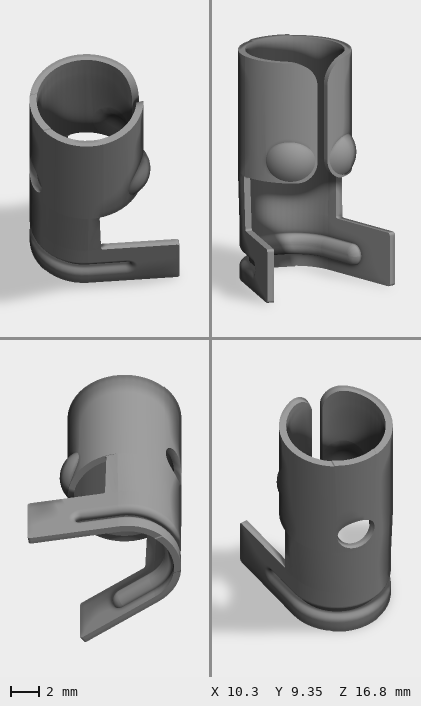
import cadquery as cq
import math

total_height = 16.76
tab_height = 0.07
wall = 0.5

barrel_radius = 4.0
barrel_bottom = 7.98
barrel_top = total_height - tab_height
gap_width = 0.79
gap_top_round = 1.8
gap_bottom_round = 1.51

clip_bottom = tab_height
clip_top = 3.95
clip_radius = 3.79
arm_angle = 13.0
arm_length = 6.47
arm_corner_round = 0.2

neck_back = 0.08
neck_trim_top = -0.28
neck_trim_bottom = -0.15
neck_corner_round = 0.17

bead_z = 1.71
groove_half_width = 0.34
groove_depth = 0.65
groove_lip_round = 0.45
bead_half_width = 0.77
bead_arm_length = 2.72

dimple_z = 9.54
dimple_angle = 34.0
dimple_radius = 2.01
dimple_peak = 4.61
dimple_blend = 2.51
hole_half_width = 1.4
hole_half_height = 1.3

top_tab_width = 3.25
bottom_tab_width = 3.45
tab_side_slope = 0.07

clearance = 0.34

clip_centre_y = clip_radius - barrel_radius
arm_sin = math.sin(math.radians(arm_angle))
arm_cos = math.cos(math.radians(arm_angle))


def clip_point(depth, along):
    """Point on the right arm: depth in from the outer face, distance along from the bend."""
    radius = clip_radius - depth
    x = radius * arm_cos + along * arm_sin
    y = clip_centre_y - radius * arm_sin + along * arm_cos
    return (x, y)


def flip(point):
    return (-point[0], point[1])


def band(plane, outer_end, outer_bend, inner_bend, inner_end, front):
    """Closed U outline, symmetric about X = 0, with straight ends beyond its bend."""
    return (
        plane.moveTo(*outer_end)
        .lineTo(*outer_bend)
        .threePointArc((0, front), flip(outer_bend))
        .lineTo(*flip(outer_end))
        .lineTo(*flip(inner_end))
        .lineTo(*flip(inner_bend))
        .threePointArc((0, front + wall), inner_bend)
        .lineTo(*inner_end)
        .close()
    )


def make_clip():
    outline = band(
        cq.Workplane("XY").workplane(offset=clip_bottom),
        clip_point(0, arm_length),
        clip_point(0, 0),
        clip_point(wall, 0),
        clip_point(wall, arm_length),
        -barrel_radius,
    )
    clip = outline.extrude(clip_top - clip_bottom)
    behind_bend = cq.selectors.BoxSelector(
        (-total_height, 0, 0), (total_height, total_height, total_height)
    )
    for side in (1, -1):
        square_to_arm = cq.selectors.ParallelDirSelector(cq.Vector(side * arm_cos, -arm_sin, 0))
        clip = clip.edges(square_to_arm).edges(behind_bend).fillet(arm_corner_round)
    return clip


def barrel_point(radius, y):
    return (math.sqrt(radius**2 - y**2), y)


def make_neck():
    """Tapering band from the clip's U section to the barrel's round section."""
    inner_radius = barrel_radius - wall
    bend_y = clip_point(0, 0)[1]
    end_along = (neck_back - bend_y) / arm_cos
    lower = band(
        cq.Workplane("XY").workplane(offset=clip_top),
        clip_point(0, end_along),
        clip_point(0, 0),
        clip_point(wall, 0),
        clip_point(wall, end_along),
        -barrel_radius,
    )
    both_sections = band(
        lower.workplane(offset=barrel_bottom - clip_top),
        barrel_point(barrel_radius, neck_back),
        barrel_point(barrel_radius, bend_y),
        barrel_point(inner_radius, bend_y),
        barrel_point(inner_radius, neck_back),
        -barrel_radius,
    )
    neck = both_sections.loft(ruled=True)
    window = (
        cq.Workplane("YZ")
        .polyline([
            (neck_trim_bottom, clip_top),
            (neck_trim_top, barrel_bottom),
            (barrel_radius, barrel_bottom),
            (barrel_radius, clip_top),
        ])
        .close()
        .extrude(2 * barrel_radius, both=True)
        .edges("|X and (not >Y)")
        .fillet(neck_corner_round)
    )
    return neck.cut(window)


def along_clip(profile):
    """Carry half of a bead section around the clip, with rounded ends on both arms.

    profile draws the upper half section on a workplane whose x is height above
    the bead's centre line and whose y is height above the clip's outer face.
    """
    def section(along):
        x, y = clip_point(0, along)
        plane = cq.Plane(origin=(x, y, bead_z), xDir=(0, 0, 1), normal=(arm_sin, arm_cos, 0))
        return profile(cq.Workplane(plane))

    bend_sweep = 90 - arm_angle
    quarter = section(0).extrude(bead_arm_length)
    bend = section(0).revolve(bend_sweep, (0, -clip_radius), (-1, -clip_radius))
    end = section(bead_arm_length).revolve(90, (0, 0), (0, -1))
    quarter = quarter.union(bend).union(end)
    half = quarter.union(quarter.mirror("XY", (0, 0, bead_z)))
    return half.union(half.mirror("YZ"))


def bead_section(plane):
    crest_half_width = bead_half_width - groove_depth
    crest = -groove_depth - wall
    diagonal = groove_depth * math.sqrt(0.5)
    return (
        plane.moveTo(0, -wall / 2)
        .lineTo(bead_half_width, -wall / 2)
        .lineTo(bead_half_width, -wall)
        .threePointArc(
            (crest_half_width + diagonal, -wall - diagonal),
            (crest_half_width, crest),
        )
        .lineTo(0, crest)
        .close()
    )


def groove_section(plane):
    lip = groove_half_width + groove_lip_round
    inset = groove_lip_round * math.sqrt(0.5)
    return (
        plane.moveTo(0, clearance)
        .lineTo(lip, clearance)
        .lineTo(lip, 0)
        .threePointArc(
            (lip - inset, inset - groove_lip_round),
            (groove_half_width, -groove_lip_round),
        )
        .lineTo(groove_half_width, -groove_depth)
        .lineTo(0, -groove_depth)
        .close()
    )


def dimple_sphere(side, radius):
    distance = dimple_peak - dimple_radius
    angle = math.radians(dimple_angle)
    centre = (side * distance * math.sin(angle), distance * math.cos(angle), dimple_z)
    return cq.Workplane("XY").sphere(radius).translate(centre)


def make_barrel():
    """Split sleeve with two dimples and the oval hole."""
    blank_height = barrel_top - clip_top
    base = cq.Workplane("XY").workplane(offset=clip_top)
    bore = base.circle(barrel_radius - wall).extrude(blank_height)
    body = base.circle(barrel_radius).extrude(blank_height)
    for side in (1, -1):
        body = body.union(dimple_sphere(side, dimple_radius))
        bore = bore.union(dimple_sphere(side, dimple_radius - wall))
    bore = bore.edges("%BSPLINE").fillet(dimple_blend)
    envelope = base.workplane(offset=barrel_bottom - clip_top).circle(dimple_peak + clearance)
    envelope = envelope.extrude(barrel_top - barrel_bottom)
    barrel = body.cut(bore).intersect(envelope)

    half_gap = gap_width / 2
    gap = (
        cq.Workplane("XZ")
        .moveTo(-half_gap - gap_bottom_round, barrel_bottom)
        .radiusArc((-half_gap, barrel_bottom + gap_bottom_round), -gap_bottom_round)
        .lineTo(-half_gap, barrel_top - gap_top_round)
        .radiusArc((-half_gap - gap_top_round, barrel_top), -gap_top_round)
        .lineTo(half_gap + gap_top_round, barrel_top)
        .radiusArc((half_gap, barrel_top - gap_top_round), -gap_top_round)
        .lineTo(half_gap, barrel_bottom + gap_bottom_round)
        .radiusArc((half_gap + gap_bottom_round, barrel_bottom), -gap_bottom_round)
        .close()
        .extrude(-2 * barrel_radius)
    )

    rim_y = math.sqrt(barrel_radius**2 - hole_half_width**2)
    outer_y = barrel_radius + clearance
    inner_y = barrel_radius / 2
    hole = (
        cq.Workplane("XZ", origin=(0, -inner_y, dimple_z))
        .ellipse(hole_half_width * inner_y / rim_y, hole_half_height)
        .workplane(offset=outer_y - inner_y)
        .ellipse(hole_half_width * outer_y / rim_y, hole_half_height)
        .loft(ruled=True)
    )
    return barrel.cut(gap).cut(hole)


def make_tab(bottom, radius, centre_y, bottom_width, top_width):
    """Low step on an end face: the front of a ring, limited by leaning sides."""
    ring = (
        cq.Workplane("XY", origin=(0, centre_y, bottom))
        .circle(radius)
        .circle(radius - wall)
        .extrude(tab_height)
    )
    limit = (
        cq.Workplane("XZ")
        .polyline([
            (-bottom_width / 2, bottom),
            (bottom_width / 2, bottom),
            (top_width / 2, bottom + tab_height),
            (-top_width / 2, bottom + tab_height),
        ])
        .close()
        .extrude(barrel_radius + clearance)
    )
    return ring.intersect(limit)


top_tab = make_tab(barrel_top, barrel_radius, 0, top_tab_width, top_tab_width - 2 * tab_side_slope)
bottom_tab = make_tab(
    0, clip_radius, clip_centre_y, bottom_tab_width - 2 * tab_side_slope, bottom_tab_width
)

result = (
    make_clip()
    .union(make_neck())
    .union(make_barrel())
    .union(along_clip(bead_section))
    .cut(along_clip(groove_section))
    .union(top_tab)
    .union(bottom_tab)
)